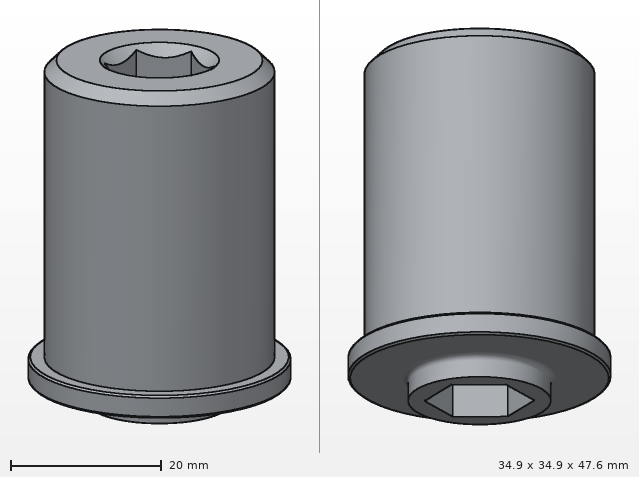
import cadquery as cq
import math

total_height = 47.6
spigot_height = 3.2
flange_thickness = 3.15

flange_diameter = 34.9
body_diameter = 30.6
spigot_diameter = 18.95

body_top_chamfer = 1.6
flange_edge_chamfer = 0.3
spigot_root_fillet = 0.8

hex_across_flats = 12.6
lead_in_diameter = 15.85

flange_top = spigot_height + flange_thickness


def turned_body():
    """Spigot, flange and barrel revolved about Z, with the bottom face at Z = 0."""
    flange_radius = flange_diameter / 2
    body_radius = body_diameter / 2
    spigot_radius = spigot_diameter / 2
    fillet_start = spigot_height - spigot_root_fillet
    arc_offset = spigot_root_fillet * (1 - math.sqrt(0.5))
    arc_middle = (spigot_radius + arc_offset, spigot_height - arc_offset)
    profile = (
        cq.Workplane("XZ")
        .lineTo(spigot_radius, 0)
        .lineTo(spigot_radius, fillet_start)
        .threePointArc(arc_middle, (spigot_radius + spigot_root_fillet, spigot_height))
        .lineTo(flange_radius - flange_edge_chamfer, spigot_height)
        .lineTo(flange_radius, spigot_height + flange_edge_chamfer)
        .lineTo(flange_radius, flange_top - flange_edge_chamfer)
        .lineTo(flange_radius - flange_edge_chamfer, flange_top)
        .lineTo(body_radius, flange_top)
        .lineTo(body_radius, total_height - body_top_chamfer)
        .lineTo(body_radius - body_top_chamfer, total_height)
        .lineTo(0, total_height)
        .close()
    )
    return profile.revolve(360, (0, 0), (0, 1))


def hex_socket():
    """Through hexagon with two corners on the X axis."""
    across_corners = hex_across_flats / math.cos(math.radians(30))
    return cq.Workplane("XY").polygon(6, across_corners).extrude(total_height)


def lead_in_cone():
    """Cone opening at the top face, with its apex on the axis below."""
    radius = lead_in_diameter / 2
    return (
        cq.Workplane("XZ")
        .moveTo(0, total_height - radius)
        .lineTo(radius, total_height)
        .lineTo(0, total_height)
        .close()
        .revolve(360, (0, 0), (0, 1))
    )


result = turned_body().cut(hex_socket()).cut(lead_in_cone())